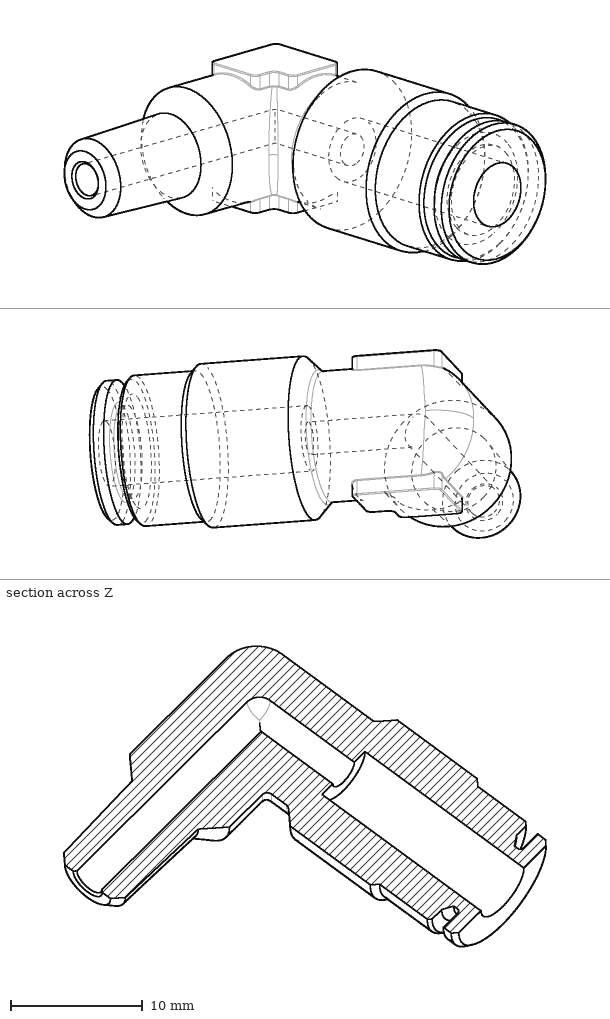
import cadquery as cq
import math


overall_length = 29.35
overall_width = 26.25

elbow_diameter = 10.0
elbow_radius = elbow_diameter / 2
outer_bend_radius = 3.0
crotch_fillet = 0.5

shoulder_start = 7.2
body_radius = 6.25
body_end = 16.95
shoulder_fillet = 0.5
cap_radius = 5.75
cap_end = 22.0
cap_chamfer = 0.25
shoulder_end = shoulder_start + body_radius - elbow_radius
cap_step = body_radius - cap_radius

neck_radius = 3.55
flange_diameter = 11.0
neck_cone_radius = 4.37
neck_cone_end = 22.5
neck_fillet = 0.25
flange_radius = flange_diameter / 2
flange_start = 23.12
flange_end = overall_length - elbow_radius
flange_chamfer = 0.4

stem_shoulder = 9.3
stem_base_radius = 3.32
stem_tip_radius = 3.08
stem_end = overall_width - body_radius
stem_tip_chamfer = 0.8
stem_base = stem_shoulder + elbow_radius - stem_base_radius

bore_diameter = 2.5
bore_radius = bore_diameter / 2
bore_chamfer = 0.2
socket_diameter = 5
socket_radius = socket_diameter / 2
socket_bottom = shoulder_end

pad_near = 2.5
pad_far = 4.52
pad_height = flange_radius
pad_corner_radius = 0.5
pad_top_fillet = 0.1
pad_base_fillet = 0.1


def revolve_x(profile):
    """Solid of revolution about X from (x, radius) points; starts and ends on the axis."""
    points = [(profile[0][0], 0)] + profile + [(profile[-1][0], 0)]
    return cq.Workplane("XY").polyline(points).close().revolve(360, (0, 0, 0), (1, 0, 0))


def revolve_stem(profile):
    """Solid of revolution about Y from (distance along -Y, radius) points."""
    return revolve_x(profile).rotate((0, 0, 0), (0, 0, 1), -90)


def make_elbow():
    """Two equal cylinders meeting in a sharp mitre."""
    reach = 2 * elbow_radius
    mitre = cq.Workplane("XY").polyline([(-reach, reach), (reach, reach), (reach, -reach)]).close()
    tube_side = mitre.extrude(reach, both=True)
    tube_leg = revolve_x([(-reach, elbow_radius), (shoulder_start, elbow_radius)]).intersect(tube_side)
    stem_leg = revolve_stem([(-reach, elbow_radius), (stem_shoulder, elbow_radius)]).cut(tube_side)
    return tube_leg.union(stem_leg)


def make_pads():
    outline = [
        (-pad_near, pad_near),
        (pad_far, pad_near),
        (pad_far, -pad_near),
        (pad_near, -pad_near),
        (pad_near, -pad_far),
        (-pad_near, -pad_far),
    ]
    pads = cq.Workplane("XY").polyline(outline).close().extrude(pad_height, both=True)
    pads = pads.edges("|Z").fillet(pad_corner_radius)
    return pads.faces("|Z").edges().fillet(pad_top_fillet)


def pad_base_edges(body):
    """Edges where the pad walls run into the round elbow, on both sides."""
    margin = 0.15
    low = (-pad_near - margin, -pad_far - margin)
    high = (pad_far + margin, pad_near + margin)
    lowest_base = math.sqrt(elbow_radius**2 - (pad_near + margin) ** 2) - margin
    upper = cq.selectors.BoxSelector((*low, lowest_base), (*high, elbow_radius))
    lower = cq.selectors.BoxSelector((*low, -elbow_radius), (*high, -lowest_base))
    return body.edges("not |Z").edges(upper + lower)


def make_padded_elbow():
    """Mitred elbow with pads; the mitre is rounded at the bend, the crotch and the pad base."""
    body = make_elbow().union(make_pads())
    body = body.edges("%ELLIPSE").edges(">X").fillet(crotch_fillet)
    body = body.edges("%ELLIPSE").edges("<X").fillet(outer_bend_radius)
    return pad_base_edges(body).fillet(pad_base_fillet)


def make_socket_body():
    """Shouldered socket body with its end cap."""
    inner_end = shoulder_start - 2 * shoulder_fillet
    return revolve_x(
        [
            (inner_end, elbow_radius),
            (shoulder_start, elbow_radius),
            (shoulder_end, body_radius),
            (body_end - cap_step, body_radius),
            (body_end, cap_radius),
            (cap_end - cap_chamfer, cap_radius),
            (cap_end, cap_radius - cap_chamfer),
        ]
    )


def make_sleeve():
    """Release sleeve: tapered neck and chamfered flange."""
    return revolve_x(
        [
            (cap_end, neck_cone_radius),
            (neck_cone_end, neck_radius),
            (flange_start, neck_radius),
            (flange_start, flange_radius),
            (flange_end - flange_chamfer, flange_radius),
            (flange_end, flange_radius - flange_chamfer),
        ]
    )


def make_stem():
    """Shoulder and tapered stem with a chamfered tip."""
    return revolve_stem(
        [
            (stem_shoulder, elbow_radius),
            (stem_base, stem_base_radius),
            (stem_end - stem_tip_chamfer, stem_tip_radius),
            (stem_end, stem_tip_radius - stem_tip_chamfer),
        ]
    )


def make_passage():
    """Bore from the stem tip round the bend into the tube socket."""
    stem_bore = revolve_stem(
        [
            (0, bore_radius),
            (stem_end - bore_chamfer, bore_radius),
            (stem_end, bore_radius + bore_chamfer),
        ]
    )
    tube_bore = revolve_x(
        [
            (0, bore_radius),
            (socket_bottom, bore_radius),
            (socket_bottom, socket_radius),
            (flange_end, socket_radius),
        ]
    )
    bend = cq.Workplane("XY").sphere(bore_radius)
    return stem_bore.union(tube_bore).union(bend)


def circle_at(x, radius):
    """Selector for a circular edge about the X axis at position x."""
    tolerance = 0.003
    reach = radius + tolerance
    return cq.selectors.BoxSelector(
        (x - tolerance, -reach, -reach), (x + tolerance, reach, reach), boundingbox=True
    )


outside = make_padded_elbow().union(make_socket_body()).union(make_sleeve()).union(make_stem())
outside = outside.edges(circle_at(shoulder_start, elbow_radius)).fillet(shoulder_fillet)
outside = outside.edges(circle_at(flange_start, neck_radius)).fillet(neck_fillet)
result = outside.cut(make_passage())